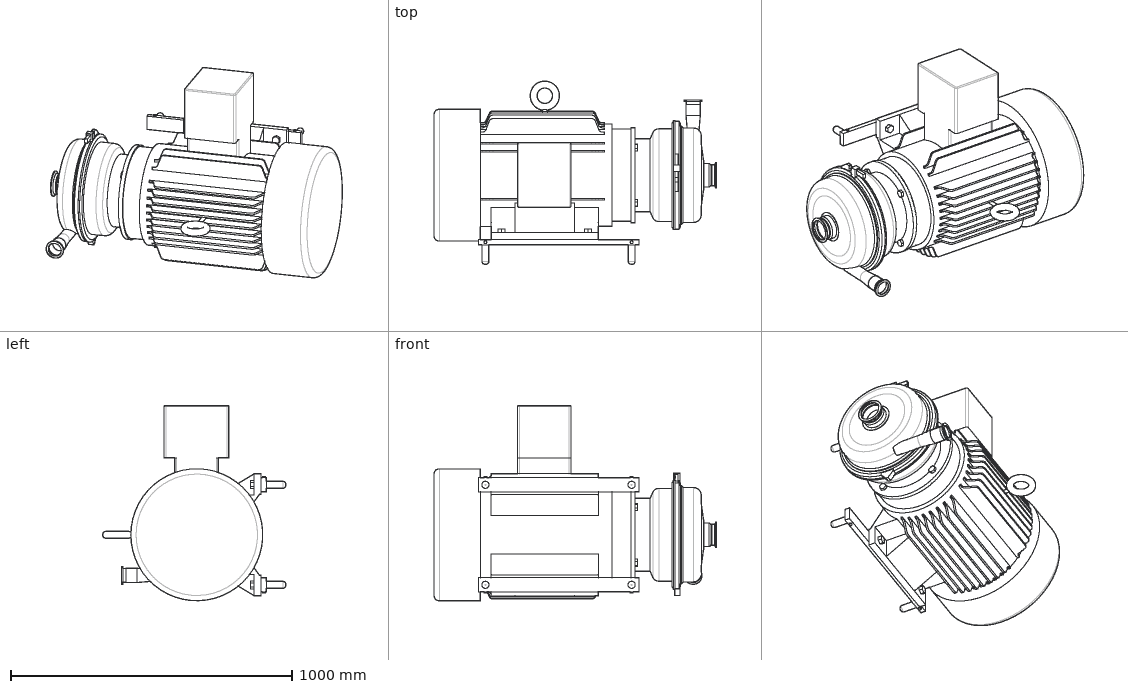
import cadquery as cq
import math


FAN_COVER_R = 235.0
FAN_COVER_END = 165.0
FAN_COVER_ROUND = 19.0
MOTOR_R = 182.5
MOTOR_END = 634.0
END_BELL_R = 164.7
END_BELL_END = 700.5
FLANGE_R = 169.7
FLANGE_END = 715.5

NECK_R = 130.4
NECK_END = 769.0
ADAPTER_R = 165.5
ADAPTER_ROUND = 23.6
ADAPTER_CONE_LENGTH = 10.0
ADAPTER_CONE_ANGLE = 63.0
CLAMP_START = 846.6
CLAMP_END = 877.0
CLAMP_EDGE_R = 184.0
CLAMP_R = 194.0
CLAMP_BEVEL = 5.5
CLAMP_BAND_START = 858.0
CLAMP_BAND_R = 193.0
CASING_R = 168.5
CASING_LIP_R = 175.0
CASING_LIP_END = 881.0
CASING_START = 887.0
CASING_ROUND = 28.0
CASING_ROUND_START = 923.5
CASING_CONE_R = 112.0
CASING_BOSS_R = 53.0
CASING_BOSS_START = 959.5
CASING_FACE = 961.0

SUCTION_HUB_R = 84.97 / 2
SUCTION_HUB_END = 979.0
SUCTION_PIPE_R = 76.33 / 2
SUCTION_COLLAR_R = 76.6 / 2
SUCTION_COLLAR_START = 985.5
SUCTION_PIPE_START = 989.5
SUCTION_LIP_R = 90.91 / 2
SUCTION_LIP_THICKNESS = 3.0
SUCTION_LIP_TAPER = 4.0
SUCTION_BORE_R = 71.98 / 2
LENGTH = 1005.63

OUTLET_X = 922.3
OUTLET_Z = -144.6
OUTLET_ROOT_R = 42.6 / 2
OUTLET_PIPE_R = 51.6 / 2
OUTLET_NECK_R = 50.93 / 2
OUTLET_NECK_START = 252.0
OUTLET_LIP_R = 63.88 / 2
OUTLET_BORE_R = 47.5 / 2
OUTLET_ROOT_Y = 60.0
OUTLET_CONE_START = 160.0
OUTLET_PIPE_START = 212.0
OUTLET_LIP_START = 263.0
OUTLET_END = 268.5
OUTLET_BORE_DEPTH = OUTLET_END - OUTLET_PIPE_START

FIN_TIP_R = 228.4
FIN_FOOT_R = 187.0
FIN_END = 606.6
FIN_FOOT_LENGTH = 16.6
FIN_SLOPE_LENGTH = 19.0
FIN_ROUND = 14.0
FIN_THICKNESS = 6.5
FIN_PITCH = 28.4
SIDE_FIN_PITCH = 26.8
FIN_ROOT = 120.0
OUTER_FIN = 4

EYE_X = 394.5
EYE_TOP = 335.2
EYE_WIRE_D = 25.4
EYE_RING_R = 39.6
EYE_SHANK_R = 18.6 / 2

BOX_X0 = 297.0
BOX_X1 = 488.2
BOX_Y0 = -114.5
BOX_Y1 = 116.7
BOX_BOTTOM = 273.7
HEIGHT = 694.69
BOX_TOP = HEIGHT - FAN_COVER_R
BOX_NECK_WIDTH = 156.0
BOX_NECK_ROOT = 140.0
BOX_CORNER = 7.0
BOX_LID_EDGE = 4.0

FOOT_X0 = 203.5
FOOT_X1 = 585.5
FOOT_BASE_Y = -229.3
FOOT_PLATE_Y = -204.4
FOOT_OUTER_Z = 217.4
FOOT_INNER_Z = 143.5
FOOT_LEDGE_Z = 142.0
FOOT_INNER_EDGE_Y = -223.0
FOOT_ROOT_Y = -90.0
FOOT_UNDERSIDE_Y = -168.0
FOOT_UNDERSIDE_Z = 68.0
FOOT_RIB_SLOPE = 0.6
FOOT_RIB_X0 = 288.3
FOOT_RIB_X1 = 500.5
FOOT_BOLT_X = (239.8, 548.5)
FOOT_BOLT_Z = 178.4
FOOT_BOLT_HEX = 29.0
FOOT_BOLT_HEIGHT = 12.5

RAIL_X0 = 158.5
RAIL_X1 = 730.4
RAIL_THICKNESS = 18.6
RAIL_FACE_Y = FOOT_BASE_Y - RAIL_THICKNESS
RAIL_Z0 = 152.5
RAIL_Z1 = 203.3
PIN_X = (183.2, 703.4)
PIN_Z = (RAIL_Z0 + RAIL_Z1) / 2
PIN_D = 25.4
DEPTH = 652.26
PIN_TIP_Y = EYE_TOP - DEPTH
PIN_TIP_ROUND = 11.0
SET_SCREW_D = 10.0
SET_SCREW_PROUD = 4.0

ADAPTER_BOLT_CIRCLE_R = 140.0
ADAPTER_BOLT_COUNT = 4
ADAPTER_BOLT_HEX = 27.0
ADAPTER_BOLT_HEIGHT = 9.0

CLOSURE_X0 = 852.6
CLOSURE_X1 = 876.0
CLOSURE_TOP = 219.0
CLOSURE_ROOT = 180.0
CLOSURE_LUG_Y0 = -57.0
CLOSURE_LUG_CREST_Y = -24.0
CLOSURE_LUG_Y1 = -8.0
CLOSURE_LUG_LOW = 191.0
CLOSURE_LUG_TOP = 214.0
CLOSURE_BLOCK_Y0 = 14.0
CLOSURE_BLOCK_Y1 = 36.0
CLOSURE_SCREW_D = 10.0
CLOSURE_SCREW_Z = 206.0
CLOSURE_ARM_X0 = 858.0
CLOSURE_ARM_X1 = 869.0
CLOSURE_ARM_END = 76.4
CLOSURE_ARM_HEIGHT = 17.0
HINGE_X0 = 856.5
HINGE_ROOT_WIDTH = 50.0
HINGE_TIP_WIDTH = 8.0
HINGE_SHOULDER = -192.0
HINGE_BOTTOM = -216.0


def box(x0, x1, y0, y1, z0, z1):
    """Axis-aligned block between opposite corners."""
    return cq.Workplane("XY").box(x1 - x0, y1 - y0, z1 - z0, centered=False).translate((x0, y0, z0))


def along_y(diameter, x, z, y0, y1):
    """Round bar parallel to Y."""
    return cq.Workplane("XZ", origin=(x, y0, z)).circle(diameter / 2).extrude(y0 - y1)


def turned_about_x(profile):
    """Revolve an XY half profile about the X axis."""
    return profile.close().revolve(360, (0, 0, 0), (1, 0, 0))


def make_motor():
    profile = (
        cq.Workplane("XY")
        .lineTo(0, FAN_COVER_R - FAN_COVER_ROUND)
        .radiusArc((FAN_COVER_ROUND, FAN_COVER_R), FAN_COVER_ROUND)
        .lineTo(FAN_COVER_END, FAN_COVER_R)
        .lineTo(FAN_COVER_END, MOTOR_R)
        .lineTo(MOTOR_END, MOTOR_R)
        .lineTo(MOTOR_END, END_BELL_R)
        .lineTo(END_BELL_END, END_BELL_R)
        .lineTo(END_BELL_END, FLANGE_R)
        .lineTo(FLANGE_END, FLANGE_R)
        .lineTo(FLANGE_END, 0)
    )
    return turned_about_x(profile)


def make_pump():
    cone_angle = math.radians(ADAPTER_CONE_ANGLE)
    cone_end = NECK_END + ADAPTER_CONE_LENGTH
    round_end = cone_end + ADAPTER_ROUND * math.sin(cone_angle)
    cone_end_r = ADAPTER_R - ADAPTER_ROUND * (1 - math.cos(cone_angle))
    casing_round_end = CASING_ROUND_START + CASING_ROUND
    lip_start = LENGTH - SUCTION_LIP_THICKNESS
    profile = (
        cq.Workplane("XY")
        .moveTo(FLANGE_END, 0)
        .lineTo(FLANGE_END, NECK_R)
        .lineTo(NECK_END, NECK_R)
        .lineTo(cone_end, cone_end_r)
        .radiusArc((round_end, ADAPTER_R), ADAPTER_ROUND)
        .lineTo(CLAMP_START, ADAPTER_R)
        .lineTo(CLAMP_START, CLAMP_EDGE_R)
        .lineTo(CLAMP_START + CLAMP_BEVEL, CLAMP_R)
        .lineTo(CLAMP_BAND_START, CLAMP_R)
        .lineTo(CLAMP_BAND_START, CLAMP_BAND_R)
        .lineTo(CLAMP_END - CLAMP_BEVEL, CLAMP_BAND_R)
        .lineTo(CLAMP_END, CLAMP_EDGE_R)
        .lineTo(CLAMP_END, CASING_LIP_R)
        .lineTo(CASING_LIP_END, CASING_LIP_R)
        .lineTo(CASING_START, CASING_R)
        .lineTo(CASING_ROUND_START, CASING_R)
        .radiusArc((casing_round_end, CASING_R - CASING_ROUND), CASING_ROUND)
        .lineTo(casing_round_end, CASING_CONE_R)
        .lineTo(CASING_BOSS_START, CASING_BOSS_R)
        .lineTo(CASING_FACE, CASING_BOSS_R)
        .lineTo(CASING_FACE, SUCTION_HUB_R)
        .lineTo(SUCTION_HUB_END, SUCTION_HUB_R)
        .lineTo(SUCTION_COLLAR_START, SUCTION_COLLAR_R)
        .lineTo(SUCTION_PIPE_START, SUCTION_COLLAR_R)
        .lineTo(SUCTION_PIPE_START, SUCTION_PIPE_R)
        .lineTo(lip_start - SUCTION_LIP_TAPER, SUCTION_PIPE_R)
        .lineTo(lip_start, SUCTION_LIP_R)
        .lineTo(LENGTH, SUCTION_LIP_R)
        .lineTo(LENGTH, SUCTION_BORE_R)
        .lineTo(CASING_FACE, SUCTION_BORE_R)
        .lineTo(CASING_FACE, 0)
    )
    return turned_about_x(profile)


def make_outlet():
    profile = (
        cq.Workplane("XY")
        .moveTo(0, OUTLET_ROOT_Y)
        .lineTo(OUTLET_ROOT_R, OUTLET_ROOT_Y)
        .lineTo(OUTLET_ROOT_R, OUTLET_CONE_START)
        .lineTo(OUTLET_PIPE_R, OUTLET_PIPE_START)
        .lineTo(OUTLET_PIPE_R, OUTLET_NECK_START)
        .lineTo(OUTLET_NECK_R, OUTLET_NECK_START)
        .lineTo(OUTLET_NECK_R, OUTLET_LIP_START)
        .lineTo(OUTLET_LIP_R, OUTLET_LIP_START)
        .lineTo(OUTLET_LIP_R, OUTLET_END)
        .lineTo(OUTLET_BORE_R, OUTLET_END)
        .lineTo(OUTLET_BORE_R, OUTLET_END - OUTLET_BORE_DEPTH)
        .lineTo(0, OUTLET_END - OUTLET_BORE_DEPTH)
        .close()
    )
    outlet = profile.revolve(360, (0, 0, 0), (0, 1, 0))
    return outlet.translate((OUTLET_X, 0, OUTLET_Z))


def make_fin(offset):
    """Fin on the +Y side, standing at height Z = offset and reaching a common tip radius."""
    foot_y = math.sqrt(FIN_FOOT_R**2 - offset**2)
    tip_y = math.sqrt(FIN_TIP_R**2 - offset**2)
    foot_ends = (FAN_COVER_END + FIN_FOOT_LENGTH, FIN_END - FIN_FOOT_LENGTH)
    tip_ends = (foot_ends[0] + FIN_SLOPE_LENGTH, foot_ends[1] - FIN_SLOPE_LENGTH)
    fin = (
        cq.Workplane("XY", origin=(0, 0, offset))
        .moveTo(FAN_COVER_END, FIN_ROOT)
        .lineTo(FAN_COVER_END, foot_y)
        .lineTo(foot_ends[0], foot_y)
        .lineTo(tip_ends[0], tip_y)
        .lineTo(tip_ends[1], tip_y)
        .lineTo(foot_ends[1], foot_y)
        .lineTo(FIN_END, foot_y)
        .lineTo(FIN_END, FIN_ROOT)
        .close()
        .extrude(FIN_THICKNESS / 2, both=True)
    )
    for x in foot_ends + tip_ends:
        bend = cq.selectors.BoxSelector((x - 1, foot_y - 1, -FIN_TIP_R), (x + 1, tip_y + 1, FIN_TIP_R))
        fin = fin.edges("|Z").edges(bend).fillet(FIN_ROUND)
    return fin


def add_fins(body):
    for step in range(-OUTER_FIN, OUTER_FIN + 1):
        body = body.union(make_fin(step * SIDE_FIN_PITCH))
    for step in (1 - OUTER_FIN, OUTER_FIN - 1, OUTER_FIN):
        top_fin = make_fin(-step * FIN_PITCH).rotate((0, 0, 0), (1, 0, 0), 90)
        body = body.union(top_fin)
    for step in range(1 - OUTER_FIN, OUTER_FIN + 1):
        bottom_fin = make_fin(step * FIN_PITCH).rotate((0, 0, 0), (1, 0, 0), -90)
        body = body.union(bottom_fin)
    return body


def make_lifting_eye():
    centre_y = EYE_TOP - EYE_WIRE_D / 2 - EYE_RING_R
    ring = (
        cq.Workplane("XY")
        .center(EYE_RING_R, 0)
        .circle(EYE_WIRE_D / 2)
        .revolve(360, (-EYE_RING_R, 0, 0), (-EYE_RING_R, 1, 0))
        .rotate((0, 0, 0), (1, 0, 0), 90)
        .translate((EYE_X, centre_y, 0))
    )
    shank = along_y(2 * EYE_SHANK_R, EYE_X, 0, MOTOR_R - EYE_SHANK_R, centre_y - EYE_RING_R)
    return ring.union(shank)


def make_terminal_box():
    centre_y = (BOX_Y0 + BOX_Y1) / 2
    half_neck = BOX_NECK_WIDTH / 2
    case = box(BOX_X0, BOX_X1, BOX_Y0, BOX_Y1, BOX_BOTTOM, BOX_TOP)
    case = case.edges("|Z").fillet(BOX_CORNER).faces(">Z").edges().fillet(BOX_LID_EDGE)
    neck = box(BOX_X0, BOX_X1, centre_y - half_neck, centre_y + half_neck, BOX_NECK_ROOT, BOX_BOTTOM)
    return case.union(neck.edges("|Z").fillet(BOX_CORNER))


def make_foot():
    """Upper foot: a plate with a full-length ledge and a sloped centre rib."""
    rib_root_z = FOOT_OUTER_Z - FOOT_RIB_SLOPE * (FOOT_ROOT_Y - FOOT_PLATE_Y)
    ledge = (
        cq.Workplane("YZ", origin=(FOOT_X0, 0, 0))
        .moveTo(FOOT_BASE_Y, FOOT_OUTER_Z)
        .lineTo(FOOT_PLATE_Y, FOOT_OUTER_Z)
        .lineTo(FOOT_PLATE_Y, FOOT_LEDGE_Z)
        .lineTo(FOOT_ROOT_Y, FOOT_LEDGE_Z)
        .lineTo(FOOT_ROOT_Y, FOOT_UNDERSIDE_Z)
        .lineTo(FOOT_UNDERSIDE_Y, FOOT_UNDERSIDE_Z)
        .lineTo(FOOT_INNER_EDGE_Y, FOOT_INNER_Z)
        .lineTo(FOOT_BASE_Y, FOOT_INNER_Z)
        .close()
        .extrude(FOOT_X1 - FOOT_X0)
    )
    rib = (
        cq.Workplane("YZ", origin=(FOOT_RIB_X0, 0, 0))
        .moveTo(FOOT_PLATE_Y, FOOT_OUTER_Z)
        .lineTo(FOOT_ROOT_Y, rib_root_z)
        .lineTo(FOOT_ROOT_Y, FOOT_UNDERSIDE_Z)
        .lineTo(FOOT_PLATE_Y, FOOT_LEDGE_Z)
        .close()
        .extrude(FOOT_RIB_X1 - FOOT_RIB_X0)
    )
    foot = ledge.union(rib)
    for x in FOOT_BOLT_X:
        head = cq.Workplane("XZ", origin=(x, FOOT_PLATE_Y, FOOT_BOLT_Z)).transformed(rotate=(0, 0, 30))
        foot = foot.union(head.polygon(6, FOOT_BOLT_HEX).extrude(-FOOT_BOLT_HEIGHT))
    return foot


def make_rail():
    """Upper base rail with its two pins and two set screws."""
    rail = box(RAIL_X0, RAIL_X1, RAIL_FACE_Y, FOOT_BASE_Y, RAIL_Z0, RAIL_Z1)
    middle_y = (RAIL_FACE_Y + FOOT_BASE_Y) / 2
    for x in PIN_X:
        pin = along_y(PIN_D, x, PIN_Z, RAIL_FACE_Y, PIN_TIP_Y)
        pin = pin.faces("<Y").edges().fillet(PIN_TIP_ROUND)
        screw = cq.Workplane("XY", origin=(x, middle_y, RAIL_Z1)).circle(SET_SCREW_D / 2)
        rail = rail.union(pin).union(screw.extrude(SET_SCREW_PROUD))
    return rail


def make_adapter_bolts():
    heads = cq.Workplane("YZ", origin=(FLANGE_END, 0, 0))
    heads = heads.polarArray(ADAPTER_BOLT_CIRCLE_R, 45, 360, ADAPTER_BOLT_COUNT)
    return heads.polygon(6, ADAPTER_BOLT_HEX).extrude(ADAPTER_BOLT_HEIGHT)


def make_clamp_closure():
    screw_x = (CLOSURE_ARM_X0 + CLOSURE_ARM_X1) / 2
    arm_bottom = CLOSURE_SCREW_Z - CLOSURE_ARM_HEIGHT / 2
    arm_top = CLOSURE_SCREW_Z + CLOSURE_ARM_HEIGHT / 2
    lug = (
        cq.Workplane("YZ", origin=(CLOSURE_ARM_X0, 0, 0))
        .moveTo(CLOSURE_LUG_Y0, CLOSURE_LUG_LOW)
        .lineTo(CLOSURE_LUG_Y0, CLOSURE_ROOT)
        .lineTo(CLOSURE_LUG_Y1, CLOSURE_ROOT)
        .lineTo(CLOSURE_LUG_Y1, CLOSURE_LUG_TOP)
        .lineTo(CLOSURE_LUG_CREST_Y, CLOSURE_LUG_TOP)
        .close()
        .extrude(CLOSURE_ARM_X1 - CLOSURE_ARM_X0)
    )
    block = box(CLOSURE_X0, CLOSURE_X1, CLOSURE_BLOCK_Y0, CLOSURE_BLOCK_Y1, CLOSURE_ROOT, CLOSURE_TOP)
    screw = along_y(CLOSURE_SCREW_D, screw_x, CLOSURE_SCREW_Z, CLOSURE_BLOCK_Y0, CLOSURE_LUG_Y1)
    arm = box(CLOSURE_ARM_X0, CLOSURE_ARM_X1, CLOSURE_BLOCK_Y1, CLOSURE_ARM_END, arm_bottom, arm_top)
    hinge = (
        cq.Workplane("YZ", origin=(HINGE_X0, 0, 0))
        .moveTo(-HINGE_ROOT_WIDTH / 2, -CLOSURE_ROOT)
        .lineTo(-HINGE_ROOT_WIDTH / 2, HINGE_SHOULDER)
        .lineTo(-HINGE_TIP_WIDTH / 2, HINGE_BOTTOM)
        .lineTo(HINGE_TIP_WIDTH / 2, HINGE_BOTTOM)
        .lineTo(HINGE_ROOT_WIDTH / 2, HINGE_SHOULDER)
        .lineTo(HINGE_ROOT_WIDTH / 2, -CLOSURE_ROOT)
        .close()
        .extrude(CLOSURE_X1 - HINGE_X0)
    )
    return lug.union(block).union(screw).union(arm).union(hinge)


body = add_fins(make_motor()).union(make_pump())
support = make_foot().union(make_rail())
result = body.union(make_outlet()).union(make_lifting_eye())
result = result.union(make_terminal_box()).union(make_adapter_bolts()).union(make_clamp_closure())
result = result.union(support).union(support.mirror("XY"))